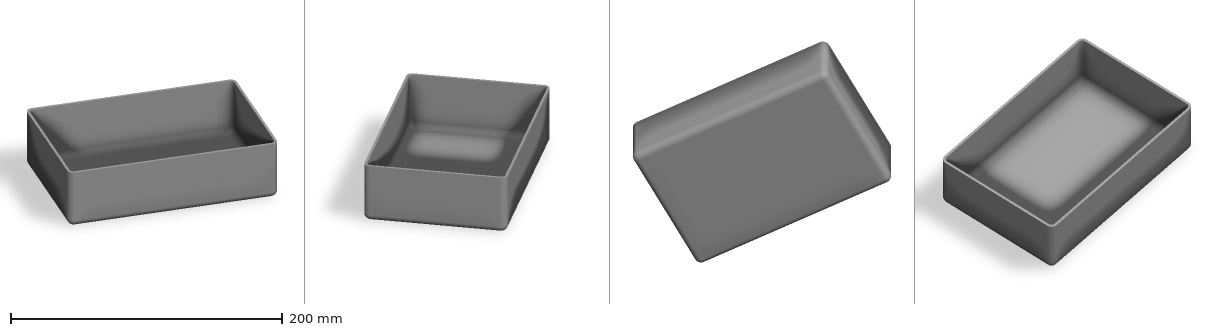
import cadquery as cq

length_x = 108.0
length_y = 162.0
height = 45.0
wall = 2.0
floor_thickness = 2.0
outer_radius = 5.0
floor_radius = 5.0
inner_corner_radius = outer_radius - wall


def block(size_x, size_y, size_z):
    """Rectangular block centred on the Z axis, resting on Z = 0."""
    return cq.Workplane("XY").box(size_x, size_y, size_z, centered=(True, True, False))


def tray_body():
    """Solid outer shape with rounded vertical corners and bottom edge."""
    body = block(length_x, length_y, height).edges("|Z").fillet(outer_radius)
    return body.faces("<Z").edges().fillet(outer_radius)


def cavity():
    """Inner volume.

    The floor fillet is larger than the corner fillet, so it is made first and
    the corner fillets then run on down its mitres to the floor corners.
    """
    volume = block(length_x - 2 * wall, length_y - 2 * wall, height - floor_thickness)
    volume = volume.faces("<Z").edges().fillet(floor_radius)
    volume = volume.edges("|Z").fillet(inner_corner_radius)
    return volume.translate((0, 0, floor_thickness))


result = tray_body().cut(cavity())